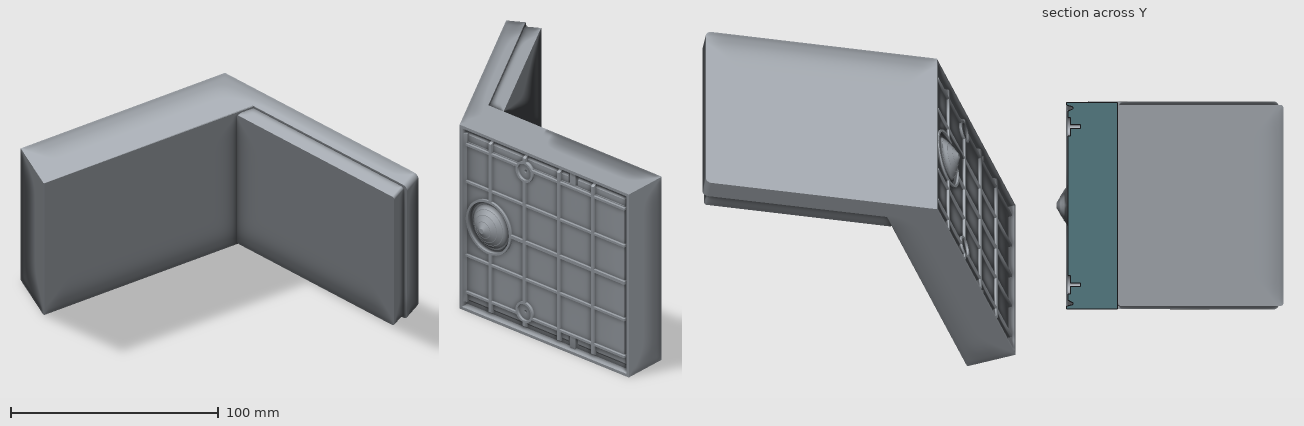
import cadquery as cq
import math

leg_length = 109.0
leg_thickness = 24.7
full_height = 100.1
rim_x = 4.6
overall_length = 165.5
height_taper = 0.41
end_draft = 0.5
back_chamfer = 0.5

arm_angle = 30
arm_thickness = 9.5
arm_corner_radius = 2.8
lid_start = 18.9
lid_end = 110.7
lid_thickness = 8.0
lid_height = 96.7
lid_corner_radius = 1.3

rib_depth = 0.5
floor_depth = 1.8
band_depth = 2.3
groove_depth = 3.0
rim_width = 1.5
wall_draft = 0.8
groove_width = 2.0
end_groove_width = 1.5
ledge_depth = 0.7
ledge_foot_depth = 1.3
ledge_width = 2.2
bevel_width = 1.0
band_inner_z = 41.0

rib_pitch_z = 20.0
rib_width = 1.7
thin_rib_width = 1.2
first_rib_y = 24.0
rib_pitch_y = 22.0
rib_count_y = 4
rib_end_inset = 3.5
rib_end_slope = 1.3

boss_y = first_rib_y + 2 * rib_pitch_y
boss_z = 38
boss_radius = 5.5
boss_recess_radius = 4.3
boss_recess_depth = 1.3
screw_hole_radius = 0.8
screw_hole_depth = 6.6

clip_y = 37.9
clip_width = 3.3
clip_gap = 1.5

button_y = 91
collar_radius = 14.4
collar_inner_radius = 13.2
button_base_radius = 12.1
button_base_depth = 2.2
button_tier_radii = [11.3, 9.3, 7.0, 4.1]
button_tip_radius = 1.3
button_step = 0.25

back_x = rim_x + leg_thickness
half_height = full_height / 2
end_half_height = half_height - height_taper
arm_length = (overall_length - leg_length) / math.sin(math.radians(arm_angle))
wall_foot = rim_width + wall_draft


def half_height_at(y):
    """Half height of the tapering bracket at a distance from its free end."""
    return end_half_height + height_taper * y / overall_length


def pocket_outline(side_inset, free_end_inset, bend_end_inset):
    """Corners of the leg face, in Y and Z, moved inward from its sides and ends."""
    near = free_end_inset
    far = leg_length - bend_end_inset
    near_z = half_height_at(near) - side_inset
    far_z = half_height_at(far) - side_inset
    return [(near, -near_z), (far, -far_z), (far, far_z), (near, near_z)]


def tapered_block(outer, inner, depth_from, depth_to):
    """Block whose outline changes evenly from one depth to another."""
    return (
        cq.Workplane("YZ", origin=(rim_x + depth_from, 0, 0)).polyline(outer).close()
        .workplane(offset=depth_to - depth_from).polyline(inner).close()
        .loft(ruled=True, combine=True)
    )


def slab(y_from, y_to, z_from, z_to, depth_from, depth_to):
    """Box given by its Y and Z ranges and its depths below the rim."""
    size = (depth_to - depth_from, y_to - y_from, z_to - z_from)
    corner = (rim_x + depth_from, y_from, z_from)
    return cq.Workplane("XY").box(*size, centered=False).translate(corner)


def disc(y, z, radius, depth_from, depth_to):
    """Cylinder along X given by its depths below the rim."""
    return (
        cq.Workplane("YZ", origin=(rim_x + depth_from, y, z))
        .circle(radius).extrude(depth_to - depth_from)
    )


def arm_plate(start, end, near_side, thickness, height):
    """Plate along the arm, in a frame with its origin on the outer bend edge."""
    return (
        cq.Workplane("XY").box(end - start, thickness, height, centered=(False, False, True))
        .translate((start, -near_side - thickness, 0))
    )


def onto_arm(plate):
    """Turn a plate from the arm frame into its place at the bend."""
    return plate.rotate((0, 0, 0), (0, 0, 1), arm_angle).translate((rim_x, leg_length, 0))


def make_leg():
    bend_back_y = leg_length + leg_thickness * math.tan(math.radians(arm_angle))
    plan = [(rim_x, 0), (rim_x, leg_length), (back_x, bend_back_y), (back_x, end_draft)]
    leg = cq.Workplane("XY").polyline(plan).close().extrude(half_height, both=True)
    return leg.faces(">X").edges("not(>Y)").chamfer(back_chamfer)


def make_arm():
    arm = arm_plate(0, arm_length, 0, arm_thickness, full_height)
    arm = arm.faces(">X").edges("|Y").fillet(arm_corner_radius)
    lid = arm_plate(lid_start, lid_end, arm_thickness, lid_thickness, lid_height)
    lid = lid.edges("|Y").fillet(lid_corner_radius)
    return onto_arm(arm).union(onto_arm(lid))


def make_bracket():
    """Leg and arm joined, with the height tapering evenly along Y."""
    side = [
        (0, -end_half_height), (overall_length, -half_height),
        (overall_length, half_height), (0, end_half_height),
    ]
    envelope = cq.Workplane("YZ").polyline(side).close().extrude(overall_length)
    return make_leg().union(make_arm()).intersect(envelope)


def make_ledge():
    """Ledge along the bend end, sloping from the pocket wall to a low step above the floor."""
    wall_y = leg_length - rim_width
    foot_y = wall_y - ledge_width
    section = [
        (rim_x + ledge_depth, wall_y), (rim_x + ledge_foot_depth, foot_y),
        (rim_x + groove_depth, foot_y), (rim_x + groove_depth, wall_y),
    ]
    half_width = half_height_at(wall_y) - wall_foot - groove_width
    return cq.Workplane("XY").polyline(section).close().extrude(half_width, both=True)


def make_pocket():
    """Drafted pocket; a bevelled floor stays inside its surrounding groove."""
    pocket = tapered_block(
        pocket_outline(rim_width, rim_width, rim_width),
        pocket_outline(wall_foot, wall_foot, wall_foot),
        0, groove_depth,
    )
    side_foot = wall_foot + groove_width
    end_foot = wall_foot + end_groove_width
    side_top = side_foot + bevel_width
    end_top = end_foot + bevel_width
    ledge_foot = rim_width + ledge_width
    floor = tapered_block(
        pocket_outline(side_top, end_top, ledge_foot),
        pocket_outline(side_foot, end_foot, ledge_foot),
        band_depth, groove_depth,
    )
    centre_floor = slab(
        end_top, leg_length - ledge_foot, -band_inner_z, band_inner_z, floor_depth, band_depth
    )
    return pocket.cut(floor).cut(centre_floor).cut(make_ledge())


def make_long_rib(z, width):
    """Rib along Y, ending short of the pocket walls."""
    y_range = (rib_end_inset, leg_length - rib_end_inset)
    return slab(*y_range, z - width / 2, z + width / 2, rib_depth, groove_depth)


def make_cross_rib(y):
    """Rib along Z whose ends slope down into the side grooves."""
    foot_z = half_height_at(y) - wall_foot - groove_width + rib_end_slope
    top_z = foot_z - rib_end_slope
    top_x = rim_x + rib_depth
    foot_x = rim_x + groove_depth
    section = [(top_x, -top_z), (top_x, top_z), (foot_x, foot_z), (foot_x, -foot_z)]
    rib = cq.Workplane("XZ").polyline(section).close().extrude(rib_width / 2, both=True)
    return rib.translate((0, y, 0))


def add_ribs(body):
    for row in range(-2, 3):
        width = rib_width if row == 0 else thin_rib_width
        body = body.union(make_long_rib(row * rib_pitch_z, width))
    for column in range(rib_count_y):
        body = body.union(make_cross_rib(first_rib_y + column * rib_pitch_y))
    return body


def add_clips(body):
    """Clip bars across both side grooves, each between two short gaps."""
    half_gap = clip_width / 2 + clip_gap
    half_clip = clip_width / 2
    outer_z = half_height_at(clip_y) - rim_width
    wall_z = outer_z - wall_draft
    for side in (-1, 1):
        gap_z = sorted((side * band_inner_z, side * wall_z))
        clip_z = sorted((side * band_inner_z, side * outer_z))
        body = body.cut(slab(
            clip_y - half_gap, clip_y + half_gap, *gap_z, band_depth, groove_depth
        ))
        body = body.union(slab(
            clip_y - half_clip, clip_y + half_clip, *clip_z, floor_depth, groove_depth
        ))
    return body


def add_bosses(body):
    for z in (-boss_z, boss_z):
        recess_floor = rib_depth + boss_recess_depth
        body = body.union(disc(boss_y, z, boss_radius, rib_depth, groove_depth))
        body = body.cut(disc(boss_y, z, boss_recess_radius, rib_depth, recess_floor))
        body = body.cut(disc(boss_y, z, screw_hole_radius, recess_floor, screw_hole_depth))
    return body


def make_button():
    """Cone in tiers, each tier ending in a narrow flat ledge under the next."""
    foot_x = rim_x + button_base_depth
    radii = button_tier_radii + [button_tip_radius]
    tier_rise = foot_x / len(button_tier_radii)
    profile = [(foot_x, 0), (foot_x, radii[0])]
    for tier, radius in enumerate(radii[1:], start=1):
        x = foot_x - tier * tier_rise
        profile.append((x, radius + button_step))
        profile.append((x, radius))
    profile[-2:] = [(0, button_tip_radius), (0, 0)]
    cone = cq.Workplane("XY").polyline(profile).close().revolve(360, (0, 0, 0), (1, 0, 0))
    return cone.translate((0, button_y, 0))


def add_button(body):
    body = body.union(disc(button_y, 0, collar_radius, rib_depth, groove_depth))
    body = body.cut(disc(button_y, 0, collar_inner_radius, rib_depth, groove_depth))
    body = body.union(disc(button_y, 0, button_base_radius, button_base_depth, groove_depth))
    return body.union(make_button())


result = make_bracket().cut(make_pocket())
result = add_ribs(result)
result = add_clips(result)
result = add_bosses(result)
result = add_button(result)